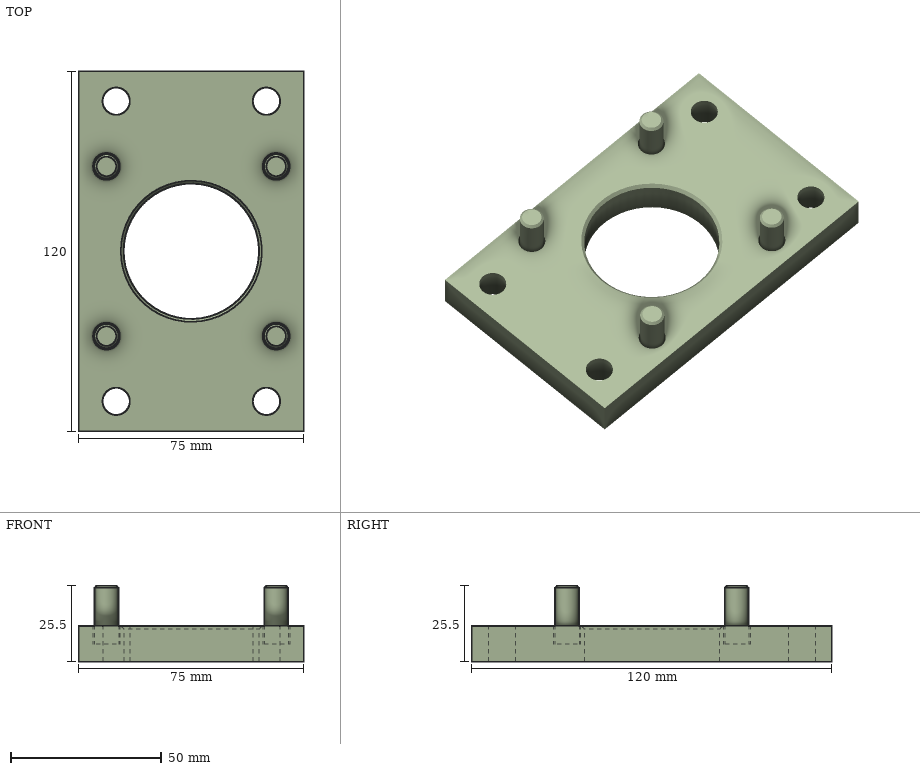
import cadquery as cq

plate_width = 75.0
plate_length = 120.0
plate_thickness = 12.0

bore_diameter = 45.0
bore_chamfer = 1.0

mount_hole_diameter = 9.0
mount_spacing_x = 50.0
mount_spacing_y = 100.0

pin_diameter = 8.0
pin_chamfer = 0.78
pin_spacing = 56.5
overall_height = 25.5
recess_diameter = 9.0
recess_depth = 6.0

pin_places = [
    (x_side * pin_spacing / 2, y_side * pin_spacing / 2)
    for x_side in (-1, 1)
    for y_side in (-1, 1)
]


def make_plate():
    """Rectangular plate resting on Z = 0, with its bore, mounting holes and pin recesses."""
    plate = cq.Workplane("XY").box(
        plate_width, plate_length, plate_thickness, centered=(True, True, False)
    )
    plate = plate.faces(">Z").workplane().hole(bore_diameter)
    plate = plate.faces(">Z").edges("%CIRCLE").chamfer(bore_chamfer)
    plate = (
        plate.faces(">Z")
        .workplane(origin=(0, 0, plate_thickness))
        .rarray(mount_spacing_x, mount_spacing_y, 2, 2)
        .hole(mount_hole_diameter)
    )
    return (
        plate.faces(">Z")
        .workplane(origin=(0, 0, plate_thickness))
        .pushPoints(pin_places)
        .hole(recess_diameter, recess_depth)
    )


def make_pin(x, y):
    """Round pin with a chamfered tip, standing on the floor of its recess."""
    pin_length = overall_height - plate_thickness + recess_depth
    return (
        cq.Workplane("XY", origin=(x, y, plate_thickness - recess_depth))
        .circle(pin_diameter / 2)
        .extrude(pin_length)
        .faces(">Z")
        .chamfer(pin_chamfer)
    )


plate = make_plate()
pins = [make_pin(x, y) for x, y in pin_places]

result = cq.Compound.makeCompound([plate.val(), *[pin.val() for pin in pins]])